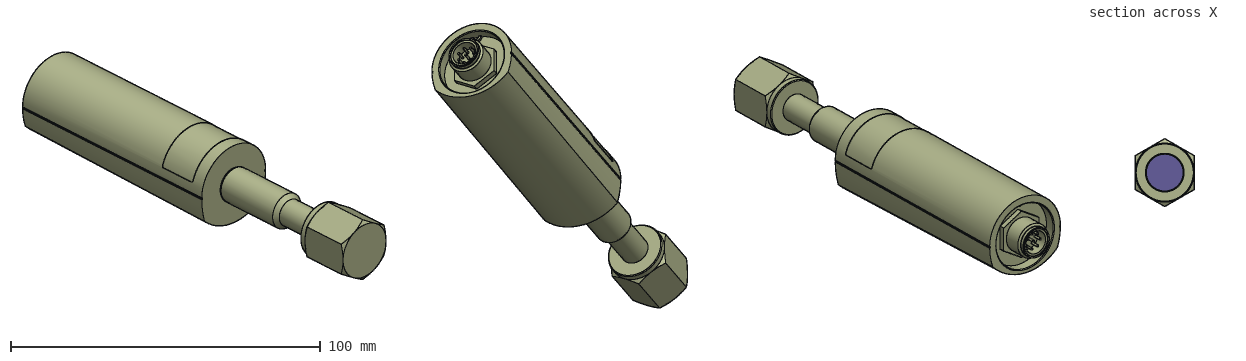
import cadquery as cq
import math


body_start = 6.1
body_end = 90.6
body_length = body_end - body_start
body_radius = 14.2

corner_y = 13.0
side_bulge = 0.3
front_corner_drop = 7.3
front_bottom_drop = 13.0
rear_corner_drop = 8.8
rear_bottom_drop = body_radius
seam_height = 0.5
seam_depth = 0.3

label_start = 71.5
label_length = 14.3
label_bottom = 3.7
label_depth = 0.2
label_corner_radius = 0.6

recess_radius = 11.4
recess_depth = 4.0
recess_chamfer = 0.3
recess_floor = body_start + recess_depth
hex_seat_flats = 14.2
hex_seat_height = 2.0
lamp_radius = 1.8
lamp_lens_radius = 0.99
lamp_center_z = 11.3
lamp_height = 0.8

thread_diameter = 12.0
thread_start = 1.8
nose_diameter = 10.5
nose_length = 1.4
lead_in_diameter = 10.2
mouth_diameter = 9.5
mouth_depth = 0.3
socket_diameter = 7.9
socket_depth = 4.5
pin_diameter = 0.75
pin_length = 3.0
pin_circle_diameter = 5.5
ring_pin_count = 7

stem_diameter = 12.5
shoulder_diameter = 12.0
shoulder_length = 0.5
stem_end = 115.6
stem_cone_length = 1.5
tube_diameter = 9.5
collar_start = 132.0
collar_chamfer = 0.3
nut_start = 134.3
nut_end = 152.3
nut_flats = 19.0
collar_diameter = nut_flats
nut_chamfer_length = 0.9


def rod(start, end, diameter):
    """Round bar along X."""
    return cq.Workplane("YZ", origin=(start, 0, 0)).circle(diameter / 2).extrude(end - start)


def cone(start, end, start_diameter, end_diameter):
    """Round taper along X."""
    taper = cq.Solid.makeCone(
        start_diameter / 2, end_diameter / 2, end - start, cq.Vector(start, 0, 0), cq.Vector(1, 0, 0)
    )
    return cq.Workplane(taper)


def hexagon(start, end, flats):
    """Hexagonal bar along X with corners pointing up and down."""
    corner_diameter = flats / math.cos(math.pi / 6)
    plane = cq.Workplane("YZ", origin=(start, 0, 0)).transformed(rotate=(0, 0, 90))
    return plane.polygon(6, corner_diameter).extrude(end - start)


def lower_section(x, corner_drop, bottom_drop):
    """Closed outline of the lower half at one X position."""
    side_mid_y = (body_radius + corner_y) / 2 + side_bulge
    side_mid_z = -corner_drop / 2
    return (
        cq.Workplane("YZ", origin=(x, 0, 0))
        .moveTo(-body_radius, 0)
        .threePointArc((-side_mid_y, side_mid_z), (-corner_y, -corner_drop))
        .threePointArc((0, -bottom_drop), (corner_y, -corner_drop))
        .threePointArc((side_mid_y, side_mid_z), (body_radius, 0))
        .close()
        .val()
    )


def housing():
    """Half-round top joined to the tapering lower half, with a seam groove along each side."""
    upper = (
        cq.Workplane("YZ", origin=(body_start, 0, 0))
        .moveTo(-body_radius, 0)
        .threePointArc((0, body_radius), (body_radius, 0))
        .close()
        .extrude(body_length)
    )
    front_outline = lower_section(body_start, front_corner_drop, front_bottom_drop)
    rear_outline = lower_section(body_end, rear_corner_drop, rear_bottom_drop)
    body = upper.union(cq.Workplane(cq.Solid.makeLoft([front_outline, rear_outline], True)))
    groove = cq.Workplane("XY").box(body_length, 2 * seam_depth, seam_height, centered=(False, True, False))
    for side_y in (-body_radius, body_radius):
        body = body.cut(groove.translate((body_start, side_y, -seam_height)))
    return body


def label_band():
    """Thin shell removed from the housing where the label sits."""
    height = 2 * body_radius
    outline = (
        cq.Workplane("XZ")
        .rect(label_length, height)
        .extrude(2 * body_radius, both=True)
        .edges("|Y")
        .fillet(label_corner_radius)
        .translate((label_start + label_length / 2, 0, label_bottom + height / 2))
    )
    label_end = label_start + label_length
    shell = rod(label_start, label_end, 2 * (body_radius + label_depth)).cut(
        rod(label_start, label_end, 2 * (body_radius - label_depth))
    )
    return shell.intersect(outline)


def front_recess():
    """Material removed from the front face, with a chamfered mouth."""
    mouth_radius = recess_radius + recess_chamfer
    mouth = cone(body_start, body_start + recess_chamfer, 2 * mouth_radius, 2 * recess_radius)
    return rod(body_start, recess_floor, 2 * recess_radius).union(mouth)


def lamp():
    """Ring around the indicator lens, standing on the recess floor."""
    top = recess_floor - lamp_height
    ring = rod(top, recess_floor, 2 * lamp_radius).cut(rod(top, recess_floor, 2 * lamp_lens_radius))
    return ring.translate((0, 0, lamp_center_z))


def connector():
    """Threaded plug on its hexagonal seat, with pins standing in the socket."""
    plug = rod(0, nose_length, nose_diameter)
    lead_in = cone(nose_length, thread_start, lead_in_diameter, thread_diameter)
    plug = plug.union(lead_in)
    plug = plug.union(rod(thread_start, recess_floor, thread_diameter))
    plug = plug.union(hexagon(recess_floor - hex_seat_height, recess_floor, hex_seat_flats))
    plug = plug.cut(rod(0, socket_depth, socket_diameter))
    plug = plug.cut(rod(0, mouth_depth, mouth_diameter))
    pin = rod(socket_depth - pin_length, socket_depth, pin_diameter)
    plug = plug.union(pin)
    ring_pin = pin.translate((0, -pin_circle_diameter / 2, 0))
    for index in range(ring_pin_count):
        turn = 360 * index / ring_pin_count
        plug = plug.union(ring_pin.rotate((0, 0, 0), (1, 0, 0), turn))
    return plug


def stem():
    """Turned stem stepping down to the tube that enters the nut."""
    return (
        cq.Workplane("XY")
        .moveTo(body_end, 0)
        .lineTo(body_end, shoulder_diameter / 2)
        .lineTo(body_end + shoulder_length, shoulder_diameter / 2)
        .lineTo(body_end + shoulder_length, stem_diameter / 2)
        .lineTo(stem_end, stem_diameter / 2)
        .lineTo(stem_end + stem_cone_length, tube_diameter / 2)
        .lineTo(collar_start, tube_diameter / 2)
        .lineTo(collar_start, 0)
        .close()
        .revolve(360, (0, 0, 0), (1, 0, 0))
    )


def gland_nut():
    """Hexagonal nut with turned corners and a round collar."""
    corner_radius = nut_flats / 2 / math.cos(math.pi / 6)
    envelope = rod(nut_start, nut_end, 2 * corner_radius)
    envelope = envelope.edges().chamfer(nut_chamfer_length, corner_radius - nut_flats / 2)
    nut = hexagon(nut_start, nut_end, nut_flats).intersect(envelope)
    collar = rod(collar_start, nut_start, collar_diameter).faces("<X").chamfer(collar_chamfer)
    return nut.union(collar)


result = (
    housing()
    .cut(label_band())
    .cut(front_recess())
    .union(lamp())
    .union(connector())
    .union(stem())
    .union(gland_nut())
)